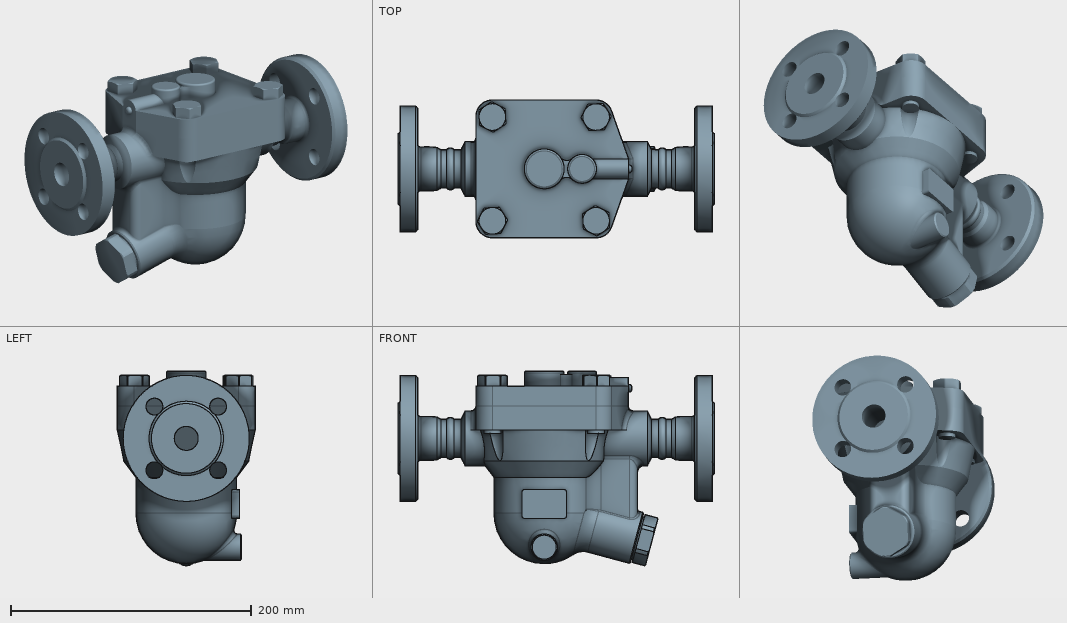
import cadquery as cq
import math


face_to_face = 264.0
pipe_middle_x = 10.0
flange_dia = 105.0
flange_back = 16.8
flange_chamfer = 2.0
raised_face_dia = 58.0
raised_face_root_dia = 62.0
raised_face_height = 2.0
bolt_hole_dia = 14.0
bolt_hole_circle = 75.0
bolt_hole_count = 4
bolt_hole_first_angle = 45.0
bore_dia = 20.0
neck_root_radius = 20.0
neck_radius = 18.3
neck_bulge_radius = 18.5
neck_tip_radius = 17.9
neck_start = 19.3
neck_end = 32.7
pipe_radius = 16.0
pipe_start = 36.0
bead_start = 40.7
bead_end = 47.0
bead_radius = 17.5
shoulder_start = 52.6
hub_start = 56.2
hub_radius = 23.0
hub_fillet = 4.0

plate_left_x = -57.0
plate_half_width = 57.5
plate_corner_radius = 14.0
plate_right_corner_x = 43.0
plate_nose_x = 70.0
plate_nose_half_width = 9.0
plate_bottom_z = 7.0
plate_split_z = 27.0
plate_top_z = 43.6

bolt_pitch_half = 43.2
bolt_head_flats = 22.0
bolt_head_round_dia = 25.0
bolt_head_height = 9.0
bolt_head_chamfer = 1.4
bolt_head_chamfer_height = 0.7
bolt_end_dia = 14.0
bolt_end_length = 2.8
bolt_clearance_radius = 9.0
bolt_turn = 3.0
hex_half_turn = 30.0

boss_top_z = 56.1
boss_edge = 1.6
large_boss_radius = 16.6
small_boss_radius = 12.0
small_boss_x = 31.5
web_top_z = 53.4
web_arc_radius = 6.6
channel_radius = 8.5
channel_top_z = 50.8
stud_radius = 3.3
stud_length = 3.0
stud_round = 2.3
stud_z = 41.8

bowl_radius = 42.0
bowl_top_radius = plate_half_width
bowl_step_radius = 52.0
bowl_step_z = -19.0
bowl_neck_z = -32.4
bowl_center_z = -62.3

pad_length = 37.0
pad_height = 24.0
pad_center_z = -54.6
pad_face_y = -44.5
pad_back_y = -36.0
pad_corner_radius = 2.0

drain_dia = 22.0
drain_z = -90.6
drain_face_y = -46.0
drain_chamfer = 1.0
drain_fillet = 3.0

strainer_angle = 15.0
strainer_radius = 22.0
strainer_end = 80.0
strainer_chamfer = 1.0
strainer_blend = 15.0
plug_collar_radius = 18.5
plug_start = 81.4
plug_end = 92.7
plug_flats = 37.6
plug_round_radius = 20.7
plug_chamfer = 0.8

rib_half_width = 17.0
rib_end_x = 77.8
rib_end_radius = 6.7
rib_blend_radius = 15.5
rib_top_z = -5.0
rib_hub_fillet = 5.0
rib_strainer_fillet = 2.0


def disc(x, y, radius, z_bottom, z_top):
    """Vertical cylinder between two heights."""
    return cq.Workplane("XY").workplane(offset=z_bottom).center(x, y).circle(radius).extrude(z_top - z_bottom)


def pipe_end():
    """Inlet half of the pipe run, its flange face at x = 0 and its axis on X."""
    neck_middle = (neck_start + neck_end) / 2
    bead_middle = (bead_start + bead_end) / 2
    root_width = neck_start - flange_back
    root_height = neck_root_radius - neck_radius
    root_bow = 1 - math.sqrt(0.5)
    neck_root_middle = (flange_back + root_width * root_bow, neck_radius + root_height * root_bow)
    body = (
        cq.Workplane("XY")
        .moveTo(0, 0)
        .lineTo(0, raised_face_dia / 2)
        .lineTo(raised_face_height, raised_face_root_dia / 2)
        .lineTo(raised_face_height, flange_dia / 2)
        .lineTo(flange_back - flange_chamfer, flange_dia / 2)
        .lineTo(flange_back, flange_dia / 2 - flange_chamfer)
        .lineTo(flange_back, neck_root_radius)
        .threePointArc(neck_root_middle, (neck_start, neck_radius))
        .threePointArc((neck_middle, neck_bulge_radius), (neck_end, neck_tip_radius))
        .lineTo(pipe_start, pipe_radius)
        .lineTo(bead_start, pipe_radius)
        .threePointArc((bead_middle, bead_radius), (bead_end, pipe_radius))
        .lineTo(shoulder_start, pipe_radius)
        .lineTo(hub_start, hub_radius)
        .lineTo(face_to_face / 2, hub_radius)
        .lineTo(face_to_face / 2, 0)
        .close()
        .revolve(360, (0, 0, 0), (1, 0, 0))
    )
    holes = (
        cq.Workplane("YZ")
        .polarArray(bolt_hole_circle / 2, bolt_hole_first_angle, 360, bolt_hole_count)
        .circle(bolt_hole_dia / 2)
        .extrude(flange_back)
    )
    bore = cq.Workplane("YZ").circle(bore_dia / 2).extrude(shoulder_start)
    return body.cut(holes).cut(bore)


def plate(z_bottom, z_top):
    """Cover outline: rounded corners, with the +X side drawn out to a narrow nose."""
    corner_y = plate_half_width - plate_corner_radius
    to_nose_x = plate_nose_x - plate_right_corner_x
    to_nose_y = corner_y - plate_nose_half_width
    tangent_angle = math.acos(plate_corner_radius / math.hypot(to_nose_x, to_nose_y)) - math.atan2(
        to_nose_y, to_nose_x
    )

    def right_corner_point(angle, side):
        return (
            plate_right_corner_x + plate_corner_radius * math.cos(angle),
            side * (corner_y + plate_corner_radius * math.sin(angle)),
        )

    middle_angle = (tangent_angle + math.pi / 2) / 2
    outline = (
        cq.Workplane("XY")
        .workplane(offset=z_bottom)
        .moveTo(plate_left_x, -plate_half_width)
        .lineTo(plate_right_corner_x, -plate_half_width)
        .threePointArc(right_corner_point(middle_angle, -1), right_corner_point(tangent_angle, -1))
        .lineTo(plate_nose_x, -plate_nose_half_width)
        .lineTo(plate_nose_x, plate_nose_half_width)
        .lineTo(*right_corner_point(tangent_angle, 1))
        .threePointArc(right_corner_point(middle_angle, 1), (plate_right_corner_x, plate_half_width))
        .lineTo(plate_left_x, plate_half_width)
        .close()
        .extrude(z_top - z_bottom)
    )
    return outline.edges("|Z and <X").fillet(plate_corner_radius)


def joint_edges(joined, first, second):
    """Edges of a union that lie on the skins of both of its parts."""
    touch = 1e-4
    skins = [first.val().Shells()[0], second.val().Shells()[0]]
    joints = []
    for edge in joined.edges().vals():
        middle = cq.Vertex.makeVertex(*edge.positionAt(0.5).toTuple())
        if all(skin.distance(middle) < touch for skin in skins):
            joints.append(edge)
    return joined.newObject(joints)


def hubs(x_start, x_end):
    """Round hub stock on the pipe axis."""
    return cq.Workplane("YZ").workplane(offset=x_start).circle(hub_radius).extrude(x_end - x_start)


def body_flange():
    """Lower plate with filleted joints where the two hubs leave its sides."""
    block = plate(-plate_top_z, plate_top_z)
    reach = face_to_face / 2 - hub_start
    hub = hubs(pipe_middle_x - reach, pipe_middle_x + reach)
    filleted = joint_edges(block.union(hub), block, hub).fillet(hub_fillet)
    band_height = plate_split_z - plate_bottom_z
    band = cq.Workplane("XY").box(face_to_face, face_to_face, band_height, centered=(True, True, False))
    return filleted.intersect(band.translate((0, 0, plate_bottom_z)))


def hex_head(flats, round_radius, height, chamfer, chamfer_height):
    """Hexagon along +Z with corners turned round and a chamfered top, base at z = 0."""
    corners = 2 * flats / math.sqrt(3)
    hexagon = cq.Workplane("XY").polygon(6, corners).extrude(height)
    turned = (
        cq.Workplane("XY")
        .circle(round_radius)
        .extrude(height)
        .faces(">Z")
        .chamfer(chamfer_height, chamfer)
    )
    return hexagon.intersect(turned)


def bolt_places():
    """Corner positions of the four cover bolts."""
    return [(x, y) for x in (-bolt_pitch_half, bolt_pitch_half) for y in (-bolt_pitch_half, bolt_pitch_half)]


def cover_bolts():
    """Four hexagon heads on the cover and the bolt ends below the body flange."""
    head = hex_head(
        bolt_head_flats,
        bolt_head_round_dia / 2,
        bolt_head_height,
        bolt_head_chamfer,
        bolt_head_chamfer_height,
    )
    end_bottom = plate_bottom_z - bolt_end_length
    end_top = plate_bottom_z + bolt_end_length
    bolts = cq.Workplane("XY")
    for x, y in bolt_places():
        turn = bolt_turn if x * y > 0 else bolt_turn + hex_half_turn
        bolts = bolts.add(head.rotate((0, 0, 0), (0, 0, 1), turn).translate((x, y, plate_top_z)))
        bolts = bolts.add(disc(x, y, bolt_end_dia / 2, end_bottom, end_top))
    return bolts.combine()


def cover_bosses():
    """Large and small round bosses, the waisted web between them and the round channel to the nose."""
    large = disc(0, 0, large_boss_radius, plate_top_z, boss_top_z)
    large = large.faces(">Z").edges().fillet(boss_edge)
    small = disc(small_boss_x, 0, small_boss_radius, plate_top_z, boss_top_z)
    small = small.faces(">Z").edges().fillet(boss_edge)

    to_large = large_boss_radius + web_arc_radius
    to_small = small_boss_radius + web_arc_radius
    arc_x = (small_boss_x**2 + to_large**2 - to_small**2) / (2 * small_boss_x)
    arc_y = math.sqrt(to_large**2 - arc_x**2)
    waist_y = arc_y - web_arc_radius
    large_x = arc_x * large_boss_radius / to_large
    large_y = arc_y * large_boss_radius / to_large
    small_x = small_boss_x - (small_boss_x - arc_x) * small_boss_radius / to_small
    small_y = arc_y * small_boss_radius / to_small
    web = (
        cq.Workplane("XY")
        .workplane(offset=plate_top_z)
        .moveTo(0, large_y)
        .lineTo(large_x, large_y)
        .threePointArc((arc_x, waist_y), (small_x, small_y))
        .lineTo(small_boss_x, small_y)
        .lineTo(small_boss_x, -small_y)
        .lineTo(small_x, -small_y)
        .threePointArc((arc_x, -waist_y), (large_x, -large_y))
        .lineTo(0, -large_y)
        .close()
        .extrude(web_top_z - plate_top_z)
    )
    channel = (
        cq.Workplane("YZ")
        .workplane(offset=small_boss_x)
        .center(0, channel_top_z - channel_radius)
        .circle(channel_radius)
        .extrude(plate_nose_x - small_boss_x)
    )
    stud = (
        cq.Workplane("YZ")
        .workplane(offset=plate_nose_x)
        .center(0, stud_z)
        .circle(stud_radius)
        .extrude(stud_length)
        .faces(">X")
        .edges()
        .fillet(stud_round)
    )
    return large.union(small).union(web).union(channel).union(stud)


def bowl():
    """Round body: tapered top, short cone, straight wall and half-sphere bottom."""
    diagonal = bowl_radius / math.sqrt(2)
    return (
        cq.Workplane("XZ")
        .moveTo(0, plate_bottom_z)
        .lineTo(bowl_top_radius, plate_bottom_z)
        .lineTo(bowl_step_radius, bowl_step_z)
        .lineTo(bowl_radius, bowl_neck_z)
        .lineTo(bowl_radius, bowl_center_z)
        .threePointArc((diagonal, bowl_center_z - diagonal), (0, bowl_center_z - bowl_radius))
        .close()
        .revolve(360, (0, 0, 0), (0, 1, 0))
    )


def bolt_clearances():
    """Vertical round reliefs in the tapered top of the bowl, one below each bolt."""
    reliefs = cq.Workplane("XY")
    for x, y in bolt_places():
        reliefs = reliefs.add(disc(x, y, bolt_clearance_radius, bowl_neck_z, plate_bottom_z))
    return reliefs.combine()


def pad():
    """Flat rectangular pad on the -Y side of the bowl."""
    return (
        cq.Workplane("XZ", origin=(0, pad_back_y, pad_center_z))
        .rect(pad_length, pad_height)
        .extrude(pad_back_y - pad_face_y)
        .edges("|Y")
        .fillet(pad_corner_radius)
    )


def drain_boss():
    """Round boss along -Y near the bottom of the bowl."""
    return (
        cq.Workplane("XZ", origin=(0, 0, drain_z))
        .circle(drain_dia / 2)
        .extrude(-drain_face_y)
        .faces("<Y")
        .chamfer(drain_chamfer)
    )


def incline(shape):
    """Tilt a shape built along +X about the bowl centre, down onto the strainer axis."""
    return shape.rotate((0, 0, 0), (0, 1, 0), strainer_angle).translate((0, 0, bowl_center_z))


def bowl_flare(offset, radius):
    """Arc joining the bowl circle to a line parallel to X at the offset: its start, middle and end points."""
    center_y = offset + radius
    center_x = math.sqrt((bowl_radius + radius) ** 2 - center_y**2)
    root_scale = bowl_radius / (bowl_radius + radius)
    root = (center_x * root_scale, center_y * root_scale)
    root_angle = math.pi + math.atan2(center_y, center_x)
    end_angle = 1.5 * math.pi
    middle_angle = (root_angle + end_angle) / 2
    middle = (center_x + radius * math.cos(middle_angle), center_y + radius * math.sin(middle_angle))
    return root, middle, (center_x, offset)


def strainer_boss():
    """Inclined round boss whose root sweeps tangentially into the half-sphere."""
    root, middle, end = bowl_flare(strainer_radius, strainer_blend)
    boss = (
        cq.Workplane("XY")
        .moveTo(0, 0)
        .lineTo(*root)
        .threePointArc(middle, end)
        .lineTo(strainer_end - strainer_chamfer, strainer_radius)
        .lineTo(strainer_end, strainer_radius - strainer_chamfer)
        .lineTo(strainer_end, plug_collar_radius)
        .lineTo(plug_start, plug_collar_radius)
        .lineTo(plug_start, 0)
        .close()
        .revolve(360, (0, 0, 0), (1, 0, 0))
    )
    return incline(boss)


def strainer_plug():
    """Hexagon plug closing the strainer boss, one pair of flats facing +/-Y."""
    head = hex_head(plug_flats, plug_round_radius, plug_end - plug_start, plug_chamfer, plug_chamfer)
    return incline(head.rotate((0, 0, 0), (0, 1, 0), 90).translate((plug_start, 0, 0)))


def rib():
    """Upright web from the bowl to its rounded +X end, flared into the bowl wall on both sides."""
    root, middle, end = bowl_flare(rib_half_width, rib_blend_radius)
    tall = (
        cq.Workplane("XY")
        .workplane(offset=bowl_center_z - bowl_radius)
        .moveTo(0, -root[1])
        .lineTo(root[0], -root[1])
        .threePointArc((middle[0], -middle[1]), (end[0], -end[1]))
        .lineTo(rib_end_x, -rib_half_width)
        .lineTo(rib_end_x, rib_half_width)
        .lineTo(*end)
        .threePointArc(middle, root)
        .lineTo(0, root[1])
        .close()
        .extrude(rib_top_z - bowl_center_z + bowl_radius)
        .edges("|Z and >X")
        .fillet(rib_end_radius)
    )
    below_axis = cq.Workplane("XY").box(
        face_to_face, face_to_face, face_to_face, centered=(True, True, False)
    )
    below_axis = below_axis.translate((0, 0, -face_to_face))
    return tall.cut(incline(below_axis))


def free_joints(joined, first, second):
    """Joint edges beyond the flare, where the rib stands clear of the bowl."""
    return joint_edges(joined, first, second).filter(lambda edge: edge.Center().x > bowl_step_radius)


def rib_with_hub():
    """Rib joined to the outlet hub above it."""
    hub = hubs(0, pipe_middle_x + face_to_face / 2 - hub_start)
    web = rib()
    return free_joints(hub.union(web), hub, web).fillet(rib_hub_fillet)


def rib_with_strainer():
    """Rib joined to the strainer boss below it."""
    boss = strainer_boss()
    web = rib()
    return free_joints(boss.union(web), boss, web).fillet(rib_strainer_fillet)


def drained_bowl():
    """Bowl with the drain boss blended into its half-sphere."""
    body = bowl()
    drain = drain_boss()
    return joint_edges(body.union(drain), body, drain).fillet(drain_fillet)


inlet = pipe_end().translate((pipe_middle_x - face_to_face / 2, 0, 0))
outlet = inlet.mirror("YZ", (pipe_middle_x, 0, 0))

lower_body = (
    drained_bowl()
    .cut(bolt_clearances())
    .union(rib_with_strainer())
    .union(rib_with_hub())
    .union(pad())
    .union(inlet)
    .union(outlet)
    .union(body_flange())
)

result = (
    lower_body
    .union(plate(plate_split_z, plate_top_z), clean=False)
    .union(cover_bosses(), clean=False)
    .union(cover_bolts(), clean=False)
    .union(strainer_plug(), clean=False)
)